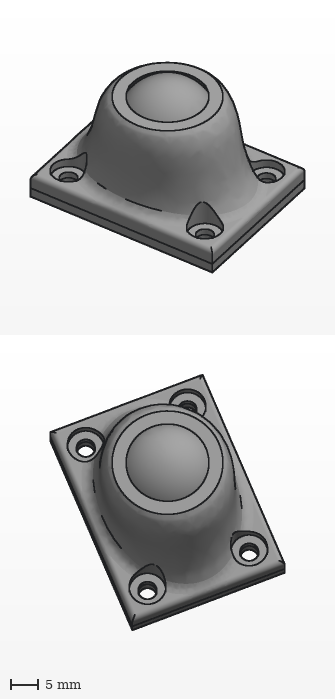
import cadquery as cq
import math

length = 40.0
width = 30.0
plate_height = 2.0
flange_top = 5.0
edge_round = 1.0

dome_top = 22.2
mouth_radius = 10.1
dome_sections = [
    (flange_top, 18.8, 13.7),
    (7.5, 16.6, 12.4),
    (11.0, 15.05, 12.0),
    (15.5, 13.9, 12.03),
    (19.0, 12.8, 11.75),
    (21.2, 11.4, 11.0),
    (dome_top, mouth_radius, mouth_radius),
]
dome_fillet = 2.4

overall_height = 25.3
ball_radius = 9.525
ball_center = overall_height - ball_radius
opening_radius = 7.55
socket_radius = math.hypot(opening_radius, dome_top - ball_center)

screw_spacing_x = 30.0
screw_spacing_y = 20.0
screw_hole_diameter = 3.4
recess_diameter = 6.7
recess_floor = 3.3

level_tolerance = 0.1


def screw_cylinders(diameter, bottom, top):
    """One vertical cylinder at each of the four screw positions."""
    return (
        cq.Workplane("XY")
        .workplane(offset=bottom)
        .rect(screw_spacing_x, screw_spacing_y, forConstruction=True)
        .vertices()
        .circle(diameter / 2)
        .extrude(top - bottom)
    )


def make_base_plate():
    """Flat plate below the flange with matching screw holes."""
    plate = cq.Workplane("XY").box(length, width, plate_height, centered=(True, True, False))
    return plate.cut(screw_cylinders(screw_hole_diameter, 0, plate_height))


def make_dome():
    """Smooth loft from an ellipse on the flange to the round mouth."""
    rings = []
    for height, half_length, half_width in dome_sections:
        ring = cq.Workplane("XY", origin=(0, 0, height)).ellipse(half_length, half_width)
        rings.append(ring.wire().val())
    return cq.Workplane("XY").add(cq.Solid.makeLoft(rings))


def make_housing():
    """Flange and dome blended together, with screw recesses and the ball socket."""
    flange = (
        cq.Workplane("XY", origin=(0, 0, plate_height))
        .rect(length, width)
        .extrude(flange_top - plate_height)
    )
    body = flange.union(make_dome())
    flange_top_edges = cq.selectors.BoxSelector(
        (-length, -width, flange_top - level_tolerance),
        (length, width, flange_top + level_tolerance),
        boundingbox=True,
    )
    body = body.edges(flange_top_edges).edges("not %LINE").fillet(dome_fillet)
    body = body.edges(flange_top_edges).edges("%LINE").fillet(edge_round)
    body = body.cut(screw_cylinders(screw_hole_diameter, plate_height, flange_top))
    body = body.cut(screw_cylinders(recess_diameter, recess_floor, dome_top))
    return body.cut(cq.Workplane("XY", origin=(0, 0, ball_center)).sphere(socket_radius))


def make_ball():
    """Free ball held in the socket, its cap rising above the mouth."""
    return cq.Workplane("XY", origin=(0, 0, ball_center)).sphere(ball_radius)


base_plate = make_base_plate()
housing = make_housing()
ball = make_ball()

result = cq.Compound.makeCompound([base_plate.solids().val(), housing.solids().val(), ball.val()])